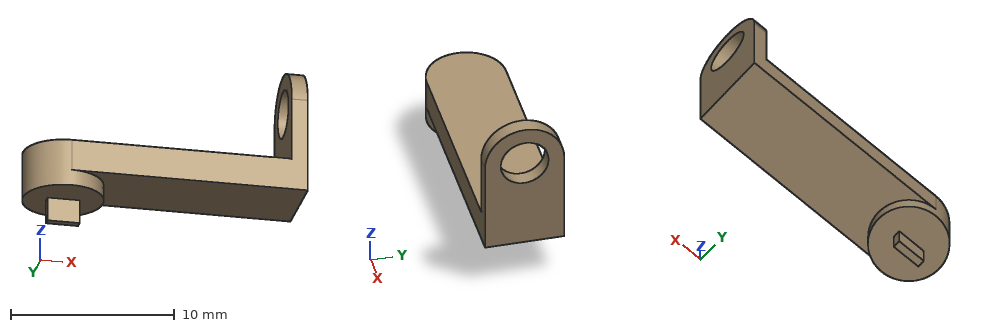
import cadquery as cq

total_length = 17.29
total_height = 11.0
width = 5.0
arm_thickness = 2.0
plate_thickness = 1.0
hole_diameter = 3.0
boss_drop = 1.0
key_length = 2.0
key_width = 0.5
key_height = 1.5

radius = width / 2
arm_end = total_length - radius
boss_bottom = key_height
arm_bottom = boss_bottom + boss_drop
arm_top = arm_bottom + arm_thickness
eye_height = total_height - radius


def block(x_start, x_end, y_size, z_start, z_end):
    """Box centred on the XZ plane between the given X and Z limits."""
    return cq.Workplane("XY").box(
        x_end - x_start, y_size, z_end - z_start, centered=(False, True, False)
    ).translate((x_start, 0, z_start))


def eye_cylinder(diameter):
    """Cylinder along X through the thickness of the upright plate."""
    return (
        cq.Workplane("YZ", origin=(arm_end - plate_thickness, 0, eye_height))
        .circle(diameter / 2)
        .extrude(plate_thickness)
    )


boss = (
    cq.Workplane("XY", origin=(0, 0, boss_bottom))
    .circle(radius)
    .extrude(arm_top - boss_bottom)
)

arm = block(0, arm_end, width, arm_bottom, arm_top)

upright = (
    block(arm_end - plate_thickness, arm_end, width, arm_bottom, eye_height)
    .union(eye_cylinder(width))
    .cut(eye_cylinder(hole_diameter))
)

key = block(-key_length / 2, key_length / 2, key_width, 0, boss_bottom)

result = boss.union(arm).union(upright).union(key)